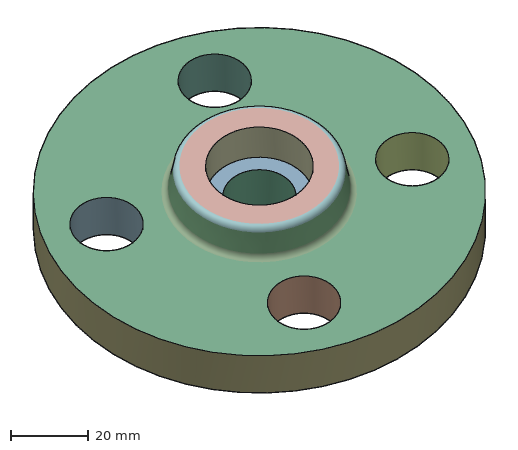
import cadquery as cq

flange_diameter = 117.3
flange_thickness = 14.1

raised_face_diameter = 42.9
raised_face_height = 1.8

hub_base_diameter = 47.7
hub_height = 9.6
hub_taper_degrees = 10.0
hub_fillet_radius = 1.8

bore_diameter = 19.0
socket_diameter = 27.9
socket_depth = 11.4

bolt_hole_count = 4
bolt_hole_diameter = 19.0
bolt_circle_diameter = 82.6

hub_top_z = flange_thickness + hub_height
total_height = raised_face_height + hub_top_z


def make_disc():
    """Flange disc with the raised face below it."""
    disc = cq.Workplane("XY").circle(flange_diameter / 2).extrude(flange_thickness)
    raised_face = cq.Workplane("XY").circle(raised_face_diameter / 2).extrude(-raised_face_height)
    return disc.union(raised_face)


def add_hub(body):
    """Conical hub, blended into the disc at its root and rounded at its top rim."""
    hub = (
        cq.Workplane("XY", origin=(0, 0, flange_thickness))
        .circle(hub_base_diameter / 2)
        .extrude(hub_height, taper=hub_taper_degrees)
    )
    body = body.union(hub)
    return body.faces("%CONE").edges("%CIRCLE").fillet(hub_fillet_radius)


def cut_axial_hole(body):
    """Through bore opened out to the pipe socket from the top."""
    bore = (
        cq.Workplane("XY", origin=(0, 0, -raised_face_height))
        .circle(bore_diameter / 2)
        .extrude(total_height)
    )
    socket = cq.Workplane("XY", origin=(0, 0, hub_top_z)).circle(socket_diameter / 2).extrude(-socket_depth)
    return body.cut(bore).cut(socket)


def cut_bolt_holes(body):
    """Bolt holes through the disc, evenly spaced on the bolt circle."""
    holes = (
        cq.Workplane("XY")
        .polarArray(bolt_circle_diameter / 2, 0, 360, bolt_hole_count)
        .circle(bolt_hole_diameter / 2)
        .extrude(flange_thickness)
    )
    return body.cut(holes)


result = cut_bolt_holes(cut_axial_hole(add_hub(make_disc())))